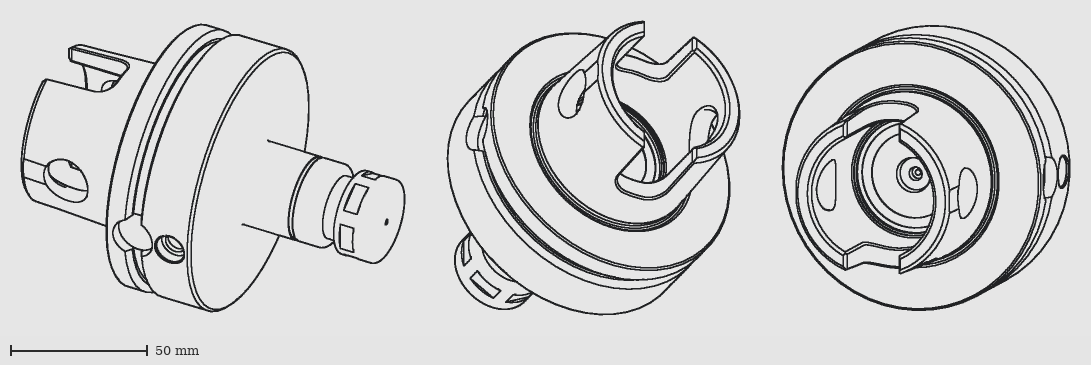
import cadquery as cq
import math


taper_tip_radius = 29.9
taper_root_radius = 31.9
taper_length = 42.8
tip_chamfer_length = 1.6
tip_chamfer_height = 1.4
relief_radius = 31.6

flange_radius = 50.02
flange_start = 44.8
flange_end = 79.2
flange_front_chamfer = 0.7
flange_back_chamfer = 1.1
face_recess_depth = 0.7
face_recess_floor_radius = 33.2
face_recess_radius = 34.0

groove_center = 55.96
groove_floor_radius = 46.0
groove_floor_half_width = 1.9
groove_mouth_half_width = 3.4
groove_wall_height = 1.1

shank_radius = 16.0
shank_fillet = 2.5
shank_end = 114.8
shank_end_fillet = 2.3
mark_radius = 15.59
mark_start = 102.7
mark_end = 104.4
neck_radius = 12.0

nut_start = 120.7
nut_end = 135.0
nut_radius = 16.0
nut_fillet = 1.4
nut_flat_count = 6
nut_flat_start = 123.5
nut_flat_end = 128.9
nut_flat_distance = 15.0

bore_mouth_radius = 24.8
bore_mouth_chamfer = 1.2
bore_entry_depth = 33.8
bore_steps = [(23.0, 44.5), (22.1, 45.1), (21.3, 46.5), (19.6, 46.8), (15.9, 47.2)]
bore_entry_taper = 2.2
pocket_radius = 6.5
pocket_floor_radius = 6.01
pocket_depth = 50.0
nozzle_radius = 2.5
nozzle_floor_radius = 2.23
nozzle_depth = 52.6
coolant_radius = 1.01

slot_half_width = 10.06
slot_end = 26.6
slot_corner_radius = 6.1
slot_bevel_length = 1.6
slot_bevel_width = 1.0
slot_edge_chamfer = 0.7

cross_hole_radius = 9.25
cross_hole_x = 19.2
flat_half_width = 4.25

relief_angle = 50
relief_start_y = 21.7
relief_length = 10.8

dimple_radius = 8.03
dimple_floor = 45.2
screw_hole_x = 71.0
screw_hole_radius = 5.6
screw_hole_chamfer = 0.4
screw_hole_chamfer_depth = 0.8
screw_hole_depth = 4.9
screw_socket_radius = 3.98
screw_socket_depth = 2.0


def arc_middle(center_x, center_r, radius, side_x, side_r):
    """Midpoint of a quarter arc; the sides (+1 or -1) tell which quarter of the circle it is."""
    offset = radius * math.sqrt(0.5)
    return (center_x + side_x * offset, center_r + side_r * offset)


def turned_body():
    """Solid outer shape, revolved about X."""
    face_floor = flange_start + face_recess_depth
    groove_left = groove_center - groove_floor_half_width
    groove_right = groove_center + groove_floor_half_width
    groove_wall_radius = groove_floor_radius + groove_wall_height
    relief_start = taper_length + taper_root_radius - relief_radius
    profile = (
        cq.Workplane("XY")
        .moveTo(0, 0)
        .lineTo(0, taper_tip_radius - tip_chamfer_height)
        .lineTo(tip_chamfer_length, taper_tip_radius)
        .lineTo(taper_length, taper_root_radius)
        .lineTo(relief_start, relief_radius)
        .lineTo(flange_start, relief_radius)
        .lineTo(face_floor, relief_radius + face_recess_depth)
        .lineTo(face_floor, face_recess_floor_radius)
        .lineTo(flange_start, face_recess_radius)
        .lineTo(flange_start, flange_radius - flange_front_chamfer)
        .lineTo(flange_start + flange_front_chamfer, flange_radius)
        .lineTo(groove_center - groove_mouth_half_width, flange_radius)
        .lineTo(groove_left, groove_wall_radius)
        .lineTo(groove_left, groove_floor_radius)
        .lineTo(groove_right, groove_floor_radius)
        .lineTo(groove_right, groove_wall_radius)
        .lineTo(groove_center + groove_mouth_half_width, flange_radius)
        .lineTo(flange_end - flange_back_chamfer, flange_radius)
        .lineTo(flange_end, flange_radius - flange_back_chamfer)
        .lineTo(flange_end, shank_radius + shank_fillet)
        .threePointArc(
            arc_middle(flange_end + shank_fillet, shank_radius + shank_fillet, shank_fillet, -1, -1),
            (flange_end + shank_fillet, shank_radius),
        )
        .lineTo(mark_start, shank_radius)
        .lineTo(mark_start, mark_radius)
        .lineTo(mark_end, mark_radius)
        .lineTo(mark_end, shank_radius)
        .lineTo(shank_end - shank_end_fillet, shank_radius)
        .threePointArc(
            arc_middle(shank_end - shank_end_fillet, shank_radius - shank_end_fillet, shank_end_fillet, 1, 1),
            (shank_end, shank_radius - shank_end_fillet),
        )
        .lineTo(shank_end, neck_radius)
        .lineTo(nut_start, neck_radius)
        .lineTo(nut_start, nut_radius - nut_fillet)
        .threePointArc(
            arc_middle(nut_start + nut_fillet, nut_radius - nut_fillet, nut_fillet, -1, 1),
            (nut_start + nut_fillet, nut_radius),
        )
        .lineTo(nut_end - nut_fillet, nut_radius)
        .threePointArc(
            arc_middle(nut_end - nut_fillet, nut_radius - nut_fillet, nut_fillet, 1, 1),
            (nut_end, nut_radius - nut_fillet),
        )
        .lineTo(nut_end, 0)
        .close()
    )
    return profile.revolve(360, (0, 0, 0), (1, 0, 0))


def bore():
    """Stepped bore with a fine coolant hole running out through the nut."""
    entry_radius = bore_mouth_radius - bore_mouth_chamfer
    outline = (
        cq.Workplane("XY")
        .moveTo(0, 0)
        .lineTo(0, bore_mouth_radius)
        .lineTo(bore_mouth_chamfer, entry_radius)
        .lineTo(bore_entry_depth, entry_radius)
    )
    step_start = bore_entry_depth + bore_entry_taper
    for step_radius, step_end in bore_steps:
        outline = outline.lineTo(step_start, step_radius).lineTo(step_end, step_radius)
        step_start = step_end
    outline = (
        outline.lineTo(step_start, pocket_radius)
        .lineTo(pocket_depth, pocket_floor_radius)
        .lineTo(pocket_depth, nozzle_radius)
        .lineTo(nozzle_depth, nozzle_floor_radius)
        .lineTo(nozzle_depth, coolant_radius)
        .lineTo(nut_end, coolant_radius)
        .lineTo(nut_end, 0)
        .close()
    )
    return outline.revolve(360, (0, 0, 0), (1, 0, 0))


def drive_slots():
    """Open-ended slot across the taper, cutting both the +Z and -Z walls."""
    mouth = slot_half_width + slot_bevel_width
    return (
        cq.Workplane("XY")
        .moveTo(0, -mouth)
        .lineTo(slot_bevel_length, -slot_half_width)
        .lineTo(slot_end, -slot_half_width)
        .lineTo(slot_end, slot_half_width)
        .lineTo(slot_bevel_length, slot_half_width)
        .lineTo(0, mouth)
        .close()
        .extrude(taper_root_radius, both=True)
        .edges("|Z and >X")
        .fillet(slot_corner_radius)
    )


def is_slot_rim(edge):
    """True for the edges where a drive slot breaks through the taper or the bore."""
    box = edge.BoundingBox()
    margin = 0.1
    shortest_rim = 1.4
    inside = box.xmin > slot_bevel_length - margin and box.xmax < slot_end + margin
    narrow = box.ymax < slot_half_width + margin and box.ymin > -slot_half_width - margin
    runs_along_wall = box.xlen > shortest_rim or box.ylen > shortest_rim
    return inside and narrow and runs_along_wall


def taper_flat(side):
    """Flat on one side of the taper, parallel to its surface, from the tip to the cross hole."""
    slope = (taper_root_radius - taper_tip_radius) / (taper_length - tip_chamfer_length)
    flat_tip_distance = math.sqrt(taper_tip_radius**2 - flat_half_width**2)
    wedge = (
        cq.Workplane("XY")
        .moveTo(0, side * (flat_tip_distance - slope * tip_chamfer_length))
        .lineTo(cross_hole_x, side * (flat_tip_distance + slope * (cross_hole_x - tip_chamfer_length)))
        .lineTo(cross_hole_x, side * taper_root_radius)
        .lineTo(0, side * taper_root_radius)
        .close()
    )
    return wedge.extrude(flat_half_width, both=True)


def cylinder_along_y(x, radius, y_start, y_end):
    """Cylinder of the given radius parallel to Y at height zero."""
    direction = cq.Vector(0, math.copysign(1, y_end - y_start), 0)
    length = abs(y_end - y_start)
    return cq.Workplane(cq.Solid.makeCylinder(radius, length, cq.Vector(x, y_start, 0), direction))


def cross_hole_relief(side):
    """Cylinder slanting from the cross hole inward and toward the taper tip."""
    angle = math.radians(relief_angle)
    start = cq.Vector(cross_hole_x, side * relief_start_y, 0)
    direction = cq.Vector(-math.sin(angle), -side * math.cos(angle), 0)
    return cq.Workplane(cq.Solid.makeCylinder(cross_hole_radius, relief_length, start, direction))


def screw_hole():
    """Stepped radial hole on the -Y side of the flange."""
    mouth = screw_hole_radius + screw_hole_chamfer
    surface = -flange_radius
    floor = surface + screw_hole_depth
    bevel_end = surface + screw_hole_chamfer_depth
    return (
        cylinder_along_y(screw_hole_x, mouth, surface, bevel_end)
        .union(cylinder_along_y(screw_hole_x, screw_hole_radius, surface, floor))
        .union(cylinder_along_y(screw_hole_x, screw_socket_radius, surface, floor + screw_socket_depth))
    )


def nut_flat(index):
    """Wrench flat on the collet nut; the first faces +Y and the rest follow around X."""
    length = nut_flat_end - nut_flat_start
    depth = nut_radius - nut_flat_distance
    center = ((nut_flat_start + nut_flat_end) / 2, nut_flat_distance + depth / 2, 0)
    cutter = cq.Workplane("XY").box(length, depth, 2 * nut_radius).translate(center)
    return cutter.rotate((0, 0, 0), (1, 0, 0), index * 360 / nut_flat_count)


body = turned_body().cut(bore()).cut(drive_slots())
slot_rims = [edge for edge in body.edges().vals() if is_slot_rim(edge)]
body = body.newObject(slot_rims).chamfer(slot_edge_chamfer)

for side in (-1, 1):
    body = body.cut(taper_flat(side))
    body = body.cut(cylinder_along_y(groove_center, dimple_radius, side * dimple_floor, side * flange_radius))
body = body.cut(cylinder_along_y(cross_hole_x, cross_hole_radius, -taper_root_radius, taper_root_radius))
for side in (-1, 1):
    body = body.cut(cross_hole_relief(side))

body = body.cut(screw_hole())
for index in range(nut_flat_count):
    body = body.cut(nut_flat(index))

result = body